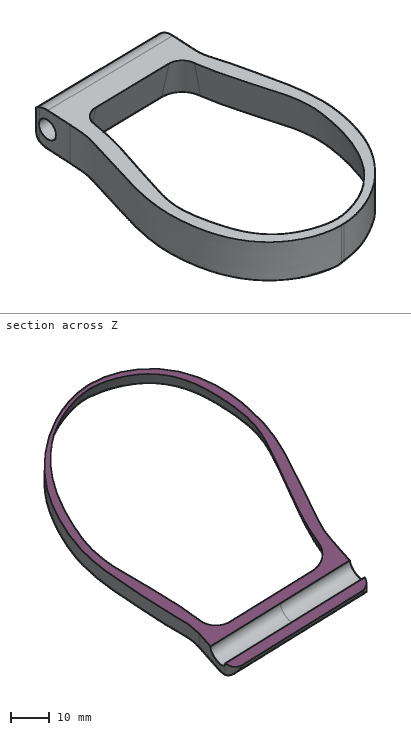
import cadquery as cq
import math

length = 93.7
height = 12.7

nose_radius = height / 2
pin_diameter = 6.4
hinge_half_width = 22.5
hinge_length = 14.7
corner_radius = 3.4

opening_start = 14.2
opening_end = 91.0
opening_upper_side = 13.6
opening_lower_side = -12.7
opening_flare = 2.8

outer_curve = [
    (hinge_length, hinge_half_width),
    (22.0, 24.2),
    (33.4, 27.6),
    (44.7, 30.5),
    (53.7, 31.6),
    (65.0, 30.5),
    (74.0, 27.6),
    (83.1, 21.5),
    (89.9, 13.0),
    (length, 0),
    (89.9, -13.9),
    (83.1, -21.7),
    (74.0, -26.9),
    (65.0, -29.2),
    (57.1, -29.9),
    (47.0, -28.9),
    (35.6, -26.15),
    (24.3, -23.3),
    (hinge_length, -hinge_half_width),
]

inner_curve = [
    (18.65, 18.6),
    (26.6, 20.5),
    (37.9, 24.2),
    (47.0, 27.0),
    (53.7, 27.8),
    (60.5, 27.3),
    (69.5, 25.3),
    (78.6, 21.1),
    (85.4, 15.1),
    (89.9, 6.7),
    (opening_end, 0),
    (89.9, -6.1),
    (85.4, -14.8),
    (80.0, -19.7),
    (69.5, -24.2),
    (57.1, -26.15),
    (49.2, -24.7),
    (37.9, -21.65),
    (26.6, -18.8),
    (18.9, -17.7),
]
upper_corner_middle = (15.5, 16.9)
lower_corner_middle = (15.6, -16.1)


def make_body():
    """Plate filling the outer outline, with rounded corners at the nose."""
    plate = (
        cq.Workplane("XY", origin=(0, 0, -nose_radius))
        .moveTo(0, -hinge_half_width)
        .lineTo(0, hinge_half_width)
        .lineTo(*outer_curve[0])
        .spline(outer_curve[1:], tangents=[(1, 0), (-1, 0)], includeCurrent=True)
        .close()
        .extrude(height)
    )
    return plate.edges("|Z and <X").fillet(corner_radius)


def make_nose_envelope():
    """Side profile with a full-round front end, as wide as the whole part."""
    return (
        cq.Workplane("XZ")
        .moveTo(length, nose_radius)
        .lineTo(nose_radius, nose_radius)
        .threePointArc((0, 0), (nose_radius, -nose_radius))
        .lineTo(length, -nose_radius)
        .close()
        .extrude(length, both=True)
    )


def offset_outward(points, distance):
    """Move each point of a clockwise open curve outward, square to its neighbours."""
    moved = []
    for index, (x, y) in enumerate(points):
        before = points[max(index - 1, 0)]
        after = points[min(index + 1, len(points) - 1)]
        run = after[0] - before[0]
        rise = after[1] - before[1]
        chord = math.hypot(run, rise)
        moved.append((x - distance * rise / chord, y + distance * run / chord))
    return moved


def add_opening_outline(workplane, offset):
    """Draw the closed opening outline, grown outward by the offset."""
    wall_x = opening_start - offset
    diagonal = offset * math.sqrt(0.5)
    curve = offset_outward(inner_curve, offset)
    upper_middle = (upper_corner_middle[0] - diagonal, upper_corner_middle[1] + diagonal)
    lower_middle = (lower_corner_middle[0] - diagonal, lower_corner_middle[1] - diagonal)
    return (
        workplane.moveTo(wall_x, opening_lower_side)
        .lineTo(wall_x, opening_upper_side)
        .threePointArc(upper_middle, curve[0])
        .spline(curve[1:], includeCurrent=True)
        .threePointArc(lower_middle, (wall_x, opening_lower_side))
        .close()
    )


def make_opening():
    """Through opening that flares outward evenly from its top edge to the underside."""
    top = add_opening_outline(cq.Workplane("XY", origin=(0, 0, nose_radius)), 0)
    return add_opening_outline(top.workplane(offset=-height), opening_flare).loft(ruled=True)


def make_pin_hole():
    """Pin hole on the axis of the round nose, through the full hinge width."""
    return (
        cq.Workplane("XZ")
        .center(nose_radius, 0)
        .circle(pin_diameter / 2)
        .extrude(hinge_half_width, both=True)
    )


result = make_body().intersect(make_nose_envelope()).cut(make_opening()).cut(make_pin_hole())